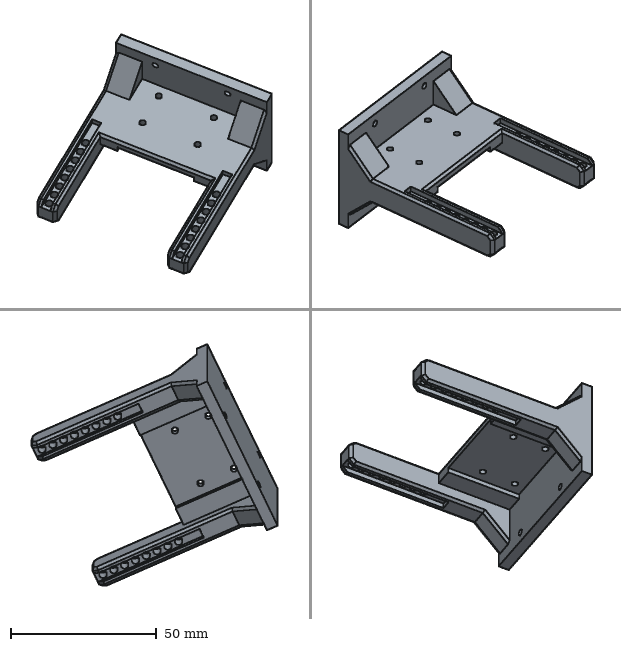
import cadquery as cq

width = 57.6
length = 67.0
height = 40.0

wall_thickness = 4.0
wall_front = length - wall_thickness
wall_hole_pitch_x = 27.55
wall_hole_pitch_z = 31.8

arm_width = 7.65
arm_height = 10.0
arm_half_height = arm_height / 2
arm_center_x = (width - arm_width) / 2
gusset_reach = 10.0
gusset_front = wall_front - gusset_reach
gusset_half_height = arm_half_height + gusset_reach
gusset_width = 10.0
tip_chamfer = 2.0

bevel_across = 1.1
bevel_depth = 0.8

groove_width = 3.5
groove_length = 40.0
groove_depth = 2.1
arm_hole_diameter = 2.6
arm_hole_count = 8
arm_hole_pitch = 4.1
first_arm_hole = 2.75

deck_front = 35.0
deck_recess_width = 29.2
deck_thickness = 3.0
deck_hole_pitch_x = 21.05
deck_hole_pitch_y = 12.65
deck_hole_rear_gap = 4.0
deck_hole_center_y = wall_front - deck_hole_rear_gap - deck_hole_pitch_y / 2

screw_hole_diameter = 2.2


def box(x_min, x_max, y_min, y_max, z_min, z_max):
    size = (x_max - x_min, y_max - y_min, z_max - z_min)
    return cq.Workplane("XY").box(*size, centered=False).translate((x_min, y_min, z_min))


def arm_profile(bevel, tip_bevel):
    """Side outline as (y, z) points, set in by bevel all round and by tip_bevel at the tip."""
    slope_shift = bevel * 2 ** 0.5
    tip_y = tip_bevel
    tip_z = arm_half_height - tip_chamfer + tip_bevel - slope_shift
    side_z = arm_half_height - bevel
    side_y = tip_chamfer + slope_shift - bevel
    gusset_y = gusset_front + slope_shift - bevel
    gusset_z = gusset_half_height - slope_shift
    upper = [
        (tip_y, tip_z),
        (side_y, side_z),
        (gusset_y, side_z),
        (wall_front, gusset_z),
    ]
    lower = [(y, -z) for y, z in reversed(upper)]
    return upper + lower


def make_arm():
    """One arm along -Y, centered on X = 0, beveled along both sides."""
    full = arm_profile(0, 0)
    beveled = arm_profile(bevel_depth, bevel_across)
    core_half_width = arm_width / 2 - bevel_across
    arm = (
        cq.Workplane("YZ", origin=(-core_half_width, 0, 0))
        .polyline(full).close()
        .extrude(2 * core_half_width)
    )
    side = (
        cq.Workplane("YZ", origin=(core_half_width, 0, 0))
        .polyline(full).close()
        .workplane(offset=bevel_across)
        .polyline(beveled).close()
        .loft(ruled=True)
    )
    return arm.union(side).union(side.mirror("YZ"))


def make_wall():
    wall = box(-width / 2, width / 2, wall_front, length, -height / 2, height / 2)
    holes = (
        cq.Workplane("XZ", origin=(0, length, 0))
        .rarray(wall_hole_pitch_x, wall_hole_pitch_z, 2, 2)
        .circle(screw_hole_diameter / 2)
        .extrude(wall_thickness)
    )
    return wall.cut(holes)


def make_deck():
    """Deck between the arm centerlines with a beveled front top edge."""
    bevel_start = arm_half_height - bevel_depth
    deck = (
        cq.Workplane("YZ", origin=(-arm_center_x, 0, 0))
        .polyline([
            (deck_front, 0),
            (deck_front, bevel_start),
            (deck_front + bevel_across, arm_half_height),
            (wall_front, arm_half_height),
            (wall_front, 0),
        ]).close()
        .extrude(2 * arm_center_x)
    )
    recess_half_width = deck_recess_width / 2
    recess_top = arm_half_height - deck_thickness
    recess = box(-recess_half_width, recess_half_width, deck_front, wall_front, 0, recess_top)
    holes = (
        cq.Workplane("XY", origin=(0, deck_hole_center_y, 0))
        .rarray(deck_hole_pitch_x, deck_hole_pitch_y, 2, 2)
        .circle(screw_hole_diameter / 2)
        .extrude(arm_half_height)
    )
    return deck.cut(recess).cut(holes)


def make_upper_gusset():
    """Widens the upper gusset of the +X arm inward over the deck."""
    inner_x = width / 2 - gusset_width
    return (
        cq.Workplane("YZ", origin=(inner_x, 0, 0))
        .polyline([
            (gusset_front, arm_half_height),
            (wall_front, gusset_half_height),
            (wall_front, arm_half_height),
        ]).close()
        .extrude(arm_center_x - inner_x)
    )


def make_arm_cuts():
    """Top and bottom grooves and the row of through holes for an arm on X = 0."""
    half_groove = groove_width / 2
    floor = arm_half_height - groove_depth
    top_groove = box(-half_groove, half_groove, 0, groove_length, floor, arm_half_height)
    last_hole_offset = (arm_hole_count - 1) * arm_hole_pitch
    row_center_y = first_arm_hole + last_hole_offset / 2
    holes = (
        cq.Workplane("XY", origin=(0, row_center_y, -arm_half_height))
        .rarray(0.7, arm_hole_pitch, 1, arm_hole_count)
        .circle(arm_hole_diameter / 2)
        .extrude(arm_height)
    )
    return top_groove.union(top_groove.mirror("XY")).union(holes)


result = make_wall().union(make_deck())

arm = make_arm()
upper_gusset = make_upper_gusset()
for arm_x in (-arm_center_x, arm_center_x):
    result = result.union(arm.translate((arm_x, 0, 0)))
for gusset in (upper_gusset, upper_gusset.mirror("YZ")):
    result = result.union(gusset)

arm_cuts = make_arm_cuts()
for arm_x in (-arm_center_x, arm_center_x):
    result = result.cut(arm_cuts.translate((arm_x, 0, 0)))